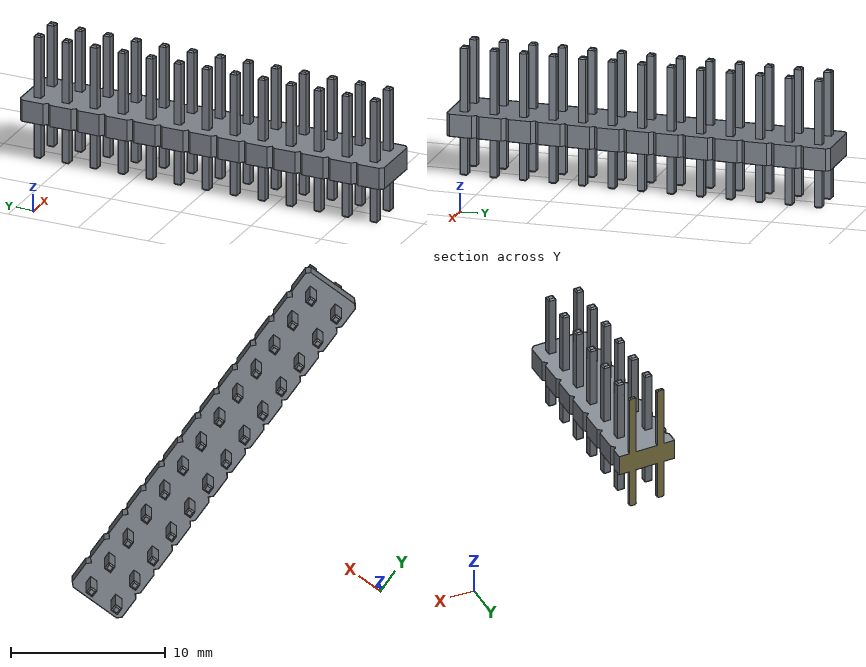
import cadquery as cq
import math

length = 26.0
row_count = 13
column_count = 2
housing_height = 1.5
notch_depth = 0.25
pin_width = 0.5
pin_above = 4.4
pin_below = 2.8
tip_chamfer = 0.1

pitch = length / row_count
width = column_count * pitch
pin_length = pin_below + housing_height + pin_above


def make_housing():
    """Block with chamfered corners and a V notch on both sides between pin rows."""
    housing = cq.Workplane("XY").box(width, length, housing_height, centered=(True, True, False))
    cutter_side = notch_depth * math.sqrt(2)
    cutter = (
        cq.Workplane("XY")
        .rect(cutter_side, cutter_side)
        .extrude(housing_height)
        .rotate((0, 0, 0), (0, 0, 1), 45)
    )
    for boundary in range(row_count + 1):
        y = boundary * pitch - length / 2
        for x in (-width / 2, width / 2):
            housing = housing.cut(cutter.translate((x, y, 0)))
    return housing


def make_pins():
    """Grid of square pins, chamfered at both tips."""
    return (
        cq.Workplane("XY", origin=(0, 0, -pin_below))
        .rarray(pitch, pitch, column_count, row_count)
        .rect(pin_width, pin_width)
        .extrude(pin_length)
        .faces("<Z or >Z")
        .chamfer(tip_chamfer)
    )


result = make_housing().union(make_pins())